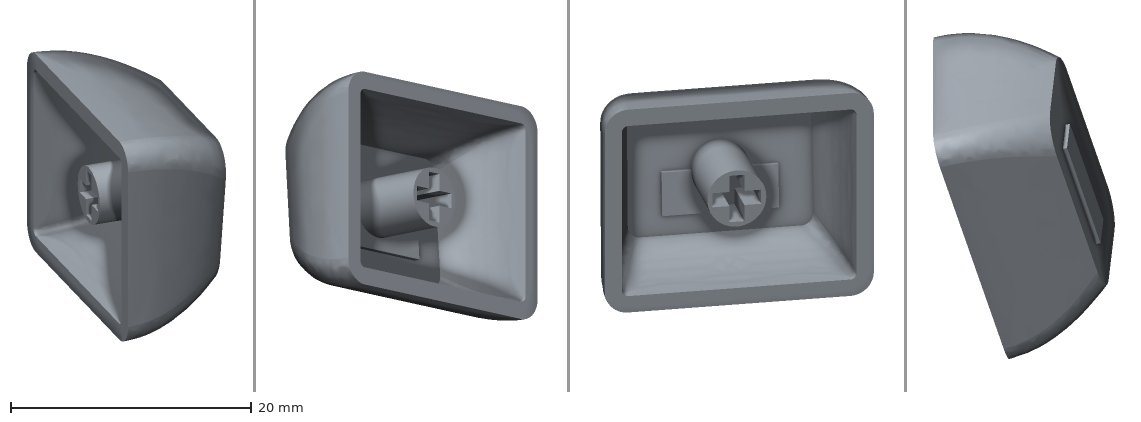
import cadquery as cq
import math

RIM_WIDTH = 22.85
RIM_HEIGHT = 18.1
RIM_RADIUS = 2.0
TOP_INSET = 2.75
TOP_RADIUS = 2.67
TOP_DEPTH = 9.58
TOP_TILT = 4.0
WALL = 1.46

STEM_DIAMETER = 5.0
STEM_RECESS = 1.0
CROSS_LENGTH = 4.14
CROSS_WIDTH = 1.25
CROSS_DEPTH = 4.0

INLAY_WIDTH = 9.92
PAD_HEIGHT = 3.8
PAD_THICKNESS = 0.5
BAND_HEIGHT = 3.52
BAND_PROUD = 0.37
INLAY_SHIFT_X = -0.07
INLAY_SHIFT_Z = -1.85


def rounded_section(share, wall):
    """Section a wall thickness inside the outer skin, at a share (0 = rim, 1 = top face) of the way up."""
    curve_inset = TOP_INSET * share**2
    side_slope = 2 * TOP_INSET * share / TOP_DEPTH
    inset = curve_inset + wall * math.hypot(1, side_slope)
    radius = RIM_RADIUS + (TOP_RADIUS - RIM_RADIUS) * share**2 - wall
    sketch = cq.Sketch().rect(RIM_WIDTH - 2 * inset, RIM_HEIGHT - 2 * inset).vertices().fillet(radius)
    return sketch.moved(cq.Location((0, 0, -TOP_DEPTH * share), (1, 0, 0), -TOP_TILT * share))


def make_block(wall):
    """Solid block whose sides lie a wall thickness inside the outer skin."""
    sections = [rounded_section(share, wall) for share in (0, 0.5, 1)]
    return cq.Workplane("XZ").placeSketch(*sections).loft()


def top_face_plane():
    """Plane on the middle of the top face, its normal pointing back toward the rim."""
    return cq.Plane.named("XZ", origin=(0, TOP_DEPTH, 0)).rotated((-TOP_TILT, 0, 0))


def make_room_below_top(depth):
    """Box on the rim side of a plane lying at a depth under the top face."""
    plane = cq.Workplane(top_face_plane()).workplane(offset=depth)
    return plane.rect(2 * RIM_WIDTH, 2 * RIM_HEIGHT).extrude(2 * TOP_DEPTH)


def make_shell():
    """Hollow cap, open at the rim, with a top wall of even thickness."""
    cavity = make_block(WALL).intersect(make_room_below_top(WALL))
    return make_block(0).cut(cavity)


def make_stem():
    """Round stem from its recessed end into the top wall."""
    stem_start = cq.Workplane("XZ", origin=(0, STEM_RECESS, 0))
    stem = stem_start.circle(STEM_DIAMETER / 2).extrude(-TOP_DEPTH)
    stem = stem.intersect(make_room_below_top(WALL / 2))
    for size in ((CROSS_LENGTH, CROSS_WIDTH), (CROSS_WIDTH, CROSS_LENGTH)):
        stem = stem.cut(stem_start.rect(*size).extrude(-CROSS_DEPTH))
    return stem


def make_inlay_plate(height, depth, thickness):
    """Plate square to the top face, starting at a depth under it and reaching toward the rim."""
    plane = cq.Workplane(top_face_plane()).workplane(offset=depth)
    return plane.center(INLAY_SHIFT_X, INLAY_SHIFT_Z).rect(INLAY_WIDTH, height).extrude(thickness)


def make_inlay():
    """Pad on the inside of the top wall with its band standing proud of the top face."""
    pad = make_inlay_plate(PAD_HEIGHT, WALL, PAD_THICKNESS)
    band = make_inlay_plate(BAND_HEIGHT, -BAND_PROUD, BAND_PROUD + WALL)
    return pad.union(band)


inlay = make_inlay()
cap = make_shell().union(make_stem()).cut(inlay)

result = cq.Compound.makeCompound([cap.val(), inlay.val()])